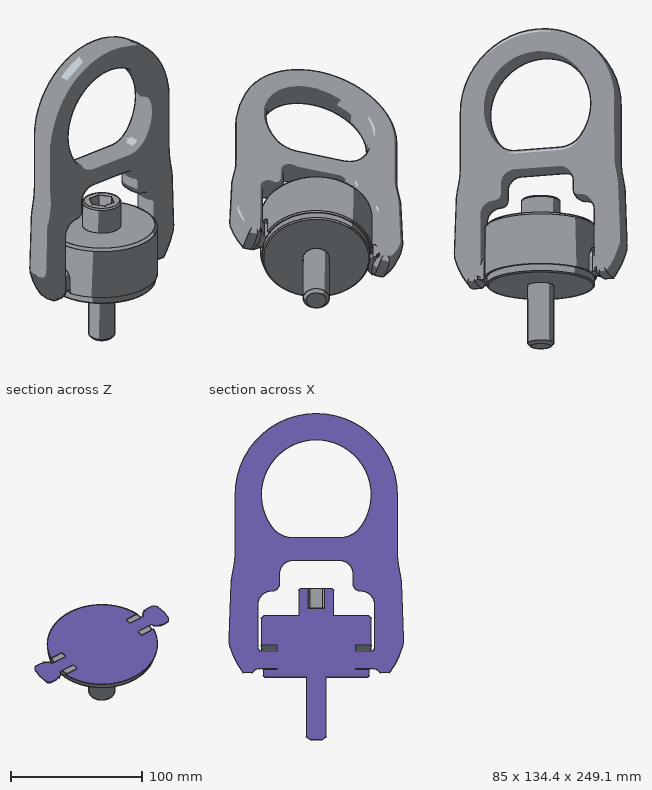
import cadquery as cq
import math


body_radius = 42.5
body_top = 47.2
body_top_chamfer = 2.0
body_bottom_chamfer = 1.0
flange_radius = 41.0
flange_height = 6.2
flange_chamfer = 1.0

shank_radius = 10.0
shank_bottom = -47.6
shank_chamfer = 2.3
head_radius = 14.8
head_height = 20.5
head_chamfer = 1.2
hex_across_flats = 17.0
hex_depth = 15.0
hex_turn = 30.0

link_thickness = 22.0
draft_angle = 5.0
link_edge_radius = 5.0
bow_radius = 62.5
link_top = 201.5
bow_centre_z = link_top - bow_radius

eye_radius = 41.0
eye_corner_radius = 19.0
eye_floor_z = 107.0

flare_start_z = 96.5
flare_hollow_mid = (62.9, 89.0)
flare_inflection = (64.1, 81.5)
flare_crown_mid = (65.0, 76.7)
flare_end = (65.6, 72.5)
leg_taper_end = (67.1, 31.0)
heel_mid = (67.18, 28.0)
heel_end = (66.7, 24.0)
toe_mid = (62.6, 13.5)
toe_end = (56.0, 2.9)
toe_flat_inner_y = 48.5

window_top_z = 88.2
window_top_half_width = 27.2
window_top_corner = 9.5
shoulder_z = 64.9
shoulder_radius = 6.5
window_half_width = 43.7
shoulder_inner_radius = 9.7
leg_inner_bottom_z = 7.0

trunnion_radius = 7.2
trunnion_centre_z = 16.8
trunnion_bottom_radius = 2.0
trunnion_inner_y = 30.0
trunnion_outer_y = 50.0
trunnion_flare_radius = 10.5
trunnion_flare_inner_y = 43.0
trunnion_flare_outer_y = 47.2
pocket_radius = 10.0


def point_at(centre, radius, degrees):
    """Point on a circle at the given angle from +Y towards +Z."""
    angle = math.radians(degrees)
    return (centre[0] + radius * math.cos(angle), centre[1] + radius * math.sin(angle))


def mirrored(point):
    return (-point[0], point[1])


def symmetric_outline(start, segments):
    """Closed outline in the YZ plane, symmetric about the Z axis.

    Each segment is (end,) for a line or (middle, end) for an arc, running
    down the +Y side; the -Y side is the same path mirrored and reversed.
    """
    sketch = cq.Workplane("YZ").moveTo(*start)
    path_start = start
    mirrored_path = []
    for segment in segments:
        end = segment[-1]
        if len(segment) == 1:
            sketch = sketch.lineTo(*end)
            mirrored_path.insert(0, (mirrored(path_start),))
        else:
            sketch = sketch.threePointArc(*segment)
            mirrored_path.insert(0, (mirrored(segment[0]), mirrored(path_start)))
        path_start = end
    sketch = sketch.lineTo(*mirrored(path_start))
    for segment in mirrored_path:
        if len(segment) == 1:
            sketch = sketch.lineTo(*segment[0])
        else:
            sketch = sketch.threePointArc(*segment)
    return sketch.close()


def drafted(outline_start, segments, angle):
    """Outline extruded both ways from the mid plane with draft."""
    half = link_thickness / 2
    near_half = symmetric_outline(outline_start, segments).extrude(half, taper=angle)
    return near_half.union(near_half.mirror("YZ"))


def make_link_blank():
    bow_centre = (0, bow_centre_z)
    top_corner_centre = (window_top_half_width - window_top_corner, window_top_z - window_top_corner)
    shoulder_centre = (window_top_half_width + shoulder_radius, shoulder_z + shoulder_radius)
    inner_centre = (window_half_width - shoulder_inner_radius, shoulder_z - shoulder_inner_radius)
    segments = [
        (point_at(bow_centre, bow_radius, 45), (bow_radius, bow_centre_z)),
        ((bow_radius, flare_start_z),),
        (flare_hollow_mid, flare_inflection),
        (flare_crown_mid, flare_end),
        (leg_taper_end,),
        (heel_mid, heel_end),
        (toe_mid, toe_end),
        ((toe_flat_inner_y, toe_end[1]),),
        ((window_half_width, leg_inner_bottom_z),),
        ((window_half_width, inner_centre[1]),),
        (point_at(inner_centre, shoulder_inner_radius, 45), (inner_centre[0], shoulder_z)),
        (point_at(shoulder_centre, shoulder_radius, 225), (window_top_half_width, shoulder_centre[1])),
        ((window_top_half_width, top_corner_centre[1]),),
        (point_at(top_corner_centre, window_top_corner, 45), (top_corner_centre[0], window_top_z)),
    ]
    return drafted((0, bow_centre_z + bow_radius), segments, draft_angle)


def make_eye():
    corner_z = eye_floor_z + eye_corner_radius
    centre_distance = eye_radius - eye_corner_radius
    drop = bow_centre_z - corner_z
    corner_y = math.sqrt(centre_distance**2 - drop**2)
    blend_angle = -math.degrees(math.atan2(drop, corner_y))
    eye_centre = (0, bow_centre_z)
    corner_centre = (corner_y, corner_z)
    segments = [
        (point_at(eye_centre, eye_radius, 30), point_at(eye_centre, eye_radius, blend_angle)),
        (
            point_at(corner_centre, eye_corner_radius, (blend_angle - 90) / 2),
            (corner_y, eye_floor_z),
        ),
    ]
    return drafted((0, bow_centre_z + eye_radius), segments, -draft_angle)


def make_link():
    link = make_link_blank().cut(make_eye())
    return link.faces("<X or >X").edges().fillet(link_edge_radius)


def arch_outline(radius, bottom_z, y):
    """Arched outline standing in the XZ plane at the given distance towards -Y."""
    return (
        cq.Workplane("XZ", origin=(0, -y, 0))
        .moveTo(-radius, bottom_z)
        .lineTo(radius, bottom_z)
        .lineTo(radius, trunnion_centre_z)
        .threePointArc((0, trunnion_centre_z + radius), (-radius, trunnion_centre_z))
        .close()
    )


def both_sides(shape):
    return shape.union(shape.mirror("XZ"))


def make_trunnions():
    bar = arch_outline(trunnion_radius, flange_height, trunnion_inner_y)
    bar = bar.extrude(trunnion_outer_y - trunnion_inner_y)
    bar = bar.edges("|Y and <Z").fillet(trunnion_bottom_radius)

    flare_length = trunnion_flare_outer_y - trunnion_flare_inner_y
    flare_growth = trunnion_flare_radius - trunnion_radius
    flare_angle = math.degrees(math.atan2(flare_growth, flare_length))
    flare = arch_outline(trunnion_flare_radius, flange_height - flare_growth, trunnion_flare_outer_y)
    flare = flare.extrude(-flare_length, taper=flare_angle)
    below_flange_top = (
        cq.Workplane("XY", origin=(0, -trunnion_flare_outer_y, flange_height))
        .rect(2 * trunnion_flare_outer_y, 2 * trunnion_flare_outer_y)
        .extrude(-flange_height)
    )
    return both_sides(bar.union(flare.cut(below_flange_top)))


def make_body():
    flange = cq.Workplane("XY").circle(flange_radius).extrude(flange_height)
    flange = flange.faces("<Z").edges().chamfer(flange_chamfer)
    drum = (
        cq.Workplane("XY", origin=(0, 0, flange_height))
        .circle(body_radius)
        .extrude(body_top - flange_height)
        .faces(">Z").edges().chamfer(body_top_chamfer)
    )
    pocket = arch_outline(pocket_radius, flange_height, trunnion_inner_y)
    pocket = pocket.extrude(trunnion_outer_y - trunnion_inner_y)
    drum = drum.cut(both_sides(pocket))
    drum = drum.faces("<Z").edges("%CIRCLE").edges("<X").chamfer(body_bottom_chamfer)
    return flange.union(drum)


def make_screw():
    shank = cq.Workplane("XY", origin=(0, 0, shank_bottom)).circle(shank_radius).extrude(-shank_bottom)
    shank = shank.faces("<Z").edges().chamfer(shank_chamfer)
    head = cq.Workplane("XY", origin=(0, 0, body_top)).circle(head_radius).extrude(head_height)
    head = head.faces(">Z").edges().chamfer(head_chamfer)
    hex_across_corners = hex_across_flats / math.cos(math.pi / 6)
    socket = (
        cq.Workplane("XY", origin=(0, 0, body_top + head_height - hex_depth))
        .transformed(rotate=(0, 0, hex_turn))
        .polygon(6, hex_across_corners)
        .extrude(hex_depth)
    )
    return shank.union(head.cut(socket))


result = make_body().union(make_screw()).union(make_trunnions()).union(make_link())